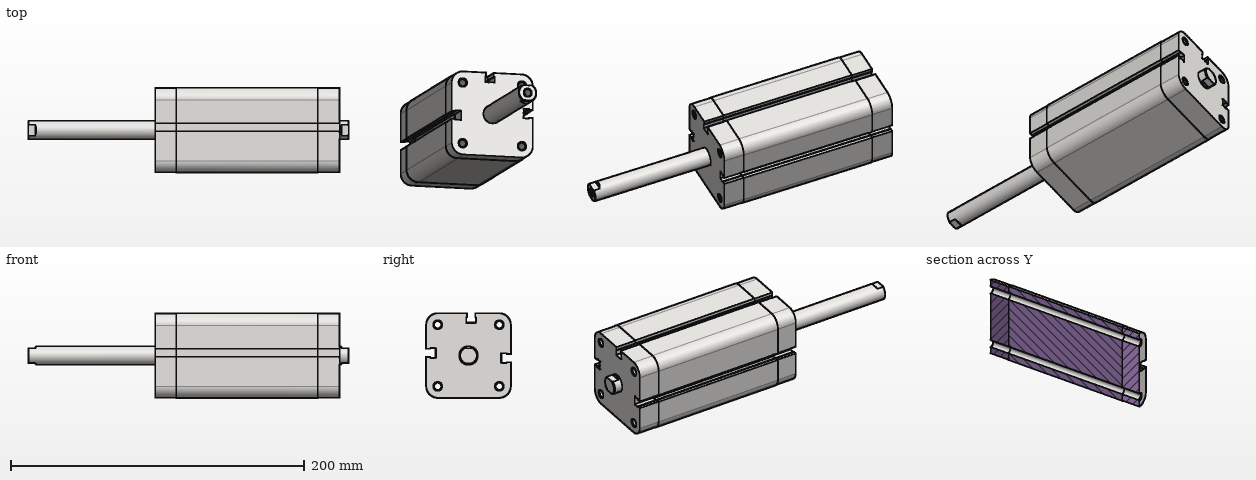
import cadquery as cq
rod_length = 219
front_cap_start = 86.7
tube_start = 101.2
tube_end = 197.5
rear_cap_end = 212.6

tube_width = 58.0
cap_width = 57.5
corner_offset = 20.8

slot_offset = 1.8
slot_mouth_width = 5.5
slot_inner_width = 6.5
slot_neck_level = 26.0
cap_slot_floor = 22.1
tube_slot_floor = 22.8
slot_side_angles = (0, 90, -90)

hole_offset = 21.0
hole_diameter = 4.8
hole_chamfer = 0.7

rod_diameter = 12.7
front_chamfer = 0.5
rear_chamfer = 0.7
flat_width = 10.3
flat_length = 4.8
flat_runout = 0.9
end_hole_diameter = 5.0
end_hole_depth = 13.1
end_hole_tip = 1.3
end_hole_chamfer = 0.5


def t_slot(start, end, floor):
    """Cutter for a T-slot in the top side, shifted towards +Y."""
    length = end - start
    mouth_height = tube_width / 2 - floor
    inner_height = slot_neck_level - floor
    centring = (False, True, False)
    mouth = cq.Workplane("XY").box(length, slot_mouth_width, mouth_height, centered=centring)
    inner = cq.Workplane("XY").box(length, slot_inner_width, inner_height, centered=centring)
    return mouth.union(inner).translate((start, slot_offset, floor))


def housing_section(start, end, width, slot_floor):
    """Rounded square block with a rod bore, corner holes and three T-slots."""
    length = end - start
    front_face = cq.Workplane("YZ", origin=(start, 0, 0))
    block = front_face.rect(width, width).extrude(length).edges("|X").fillet(width / 2 - corner_offset)
    rod_bore = front_face.circle(rod_diameter / 2).extrude(length)
    corner_holes = (
        front_face.rect(2 * hole_offset, 2 * hole_offset, forConstruction=True)
        .vertices()
        .circle(hole_diameter / 2)
        .extrude(length)
    )
    block = block.cut(rod_bore).cut(corner_holes)
    slot = t_slot(start, end, slot_floor)
    for angle in slot_side_angles:
        block = block.cut(slot.rotate((0, 0, 0), (1, 0, 0), angle))
    return block


def flats_cutter():
    """Pair of mirrored cutters for the wrench flats at the X = 0 end."""
    flat_level = flat_width / 2
    rod_radius = rod_diameter / 2
    upper = (
        cq.Workplane("XZ")
        .moveTo(0, flat_level)
        .lineTo(flat_length, flat_level)
        .lineTo(flat_length + flat_runout, rod_radius)
        .lineTo(0, rod_radius)
        .close()
        .extrude(rod_radius, both=True)
    )
    return upper.union(upper.mirror("XY"))


def make_rod():
    """Turned rod with a drilled hole in the front end and wrench flats at both ends."""
    rod_radius = rod_diameter / 2
    hole_radius = end_hole_diameter / 2
    rod = (
        cq.Workplane("XZ")
        .moveTo(end_hole_depth + end_hole_tip, 0)
        .lineTo(end_hole_depth, hole_radius)
        .lineTo(end_hole_chamfer, hole_radius)
        .lineTo(0, hole_radius + end_hole_chamfer)
        .lineTo(0, rod_radius - front_chamfer)
        .lineTo(front_chamfer, rod_radius)
        .lineTo(rod_length - rear_chamfer, rod_radius)
        .lineTo(rod_length, rod_radius - rear_chamfer)
        .lineTo(rod_length, 0)
        .close()
        .revolve(360, (0, 0), (1, 0))
    )
    front_flats = flats_cutter()
    rear_flats = front_flats.mirror("YZ").translate((rod_length, 0, 0))
    return rod.cut(front_flats).cut(rear_flats)


def end_cap(start, end, outer_face):
    """End cap between two stations, with its corner holes chamfered on the selected outer face."""
    cap = housing_section(start, end, cap_width, cap_slot_floor)
    hole_rims = cq.selectors.RadiusNthSelector(0)
    return cap.faces(outer_face).edges("%CIRCLE").edges(hole_rims).chamfer(hole_chamfer)


front_cap = end_cap(front_cap_start, tube_start, "<X")
rear_cap = end_cap(tube_end, rear_cap_end, ">X")
tube = housing_section(tube_start, tube_end, tube_width, tube_slot_floor)
rod = make_rod()

result = cq.Compound.makeCompound([front_cap.val(), tube.val(), rear_cap.val(), rod.val()])